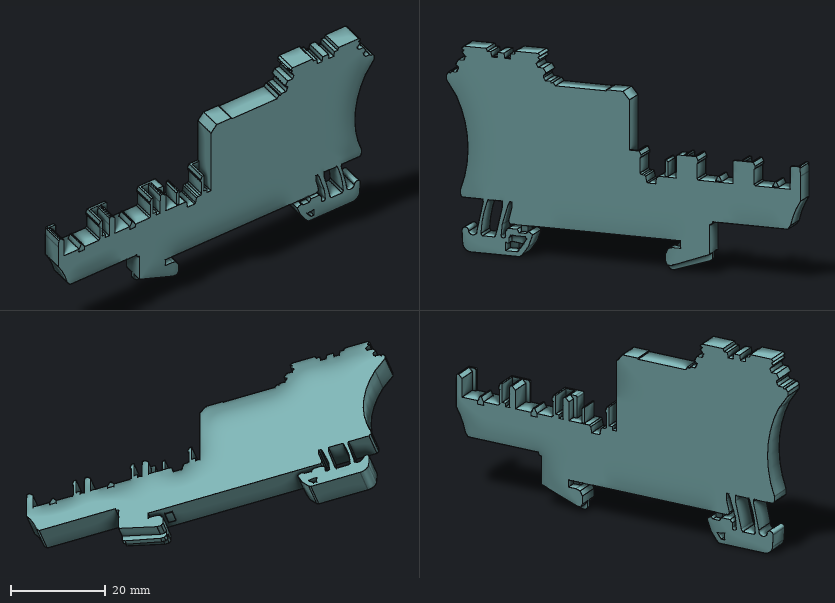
import cadquery as cq
length = 81.1
height = 45.0
width = 5.0
left = -width / 2
right = width / 2

floor_z = 20.7
tower_z = 25.8
tall_z = 38.3
rail_z = 7.0
overhang_z = 11.85
tall_y = 39.2
foot_y = 20.85
foot_inner_y = 27.5

join_overlap = 0.8
web_left = -0.65
web_right = 0.3

tower_pitch = 13.05
lip_y = 10.6
lip_faces = [lip_y + i * tower_pitch for i in range(3)]
lip_thickness = 0.65
bead_stand = 0.25
bead_bottom_z = 24.5
bead_top_z = 25.0
lip_base_chamfer = 0.3
lip_top_setback = 0.2
lead_wall_thickness = 1.5
lead_draft_height = 2.0
lead_draft = 0.1
lead_edge = 0.25
lead_back_chamfer = 0.8
lead_wall_faces = [i * tower_pitch for i in range(3)]
ledge_thickness = 0.8
ledge_height = 0.8
skin_thickness = 0.6
end_skin_back_y = 2.35
low_skin_back_y = 15.5
mid_skin_back_y = 28.5
mid_block_right = 0.5
corner_radius = 0.4

opening_bottom_z = 1.05
opening_back_y = 67.55
opening_back_z = 2.8
lug_front_y = 65.6

head_axis_y = 68.6
notch_near = 0.9
notch_far = 2.1
notch_floor_z = 43.4
notch_skin = 0.25
notch_deepening = 0.25

insert_depth = 0.8
blade_y = 30.6
blade_thickness = 0.65
blade_top_z = 24.3
blade_low_z = 23.85
blade_left = -1.95
blade_right = 2.2
ridge_y = 6.0
ridge_half_base = 0.7
ridge_top_z = 21.7
ridge_top_half = 0.2
ridge_left = -1.7
stem_y = (62.85, 64.4)
stem_bottom_z = 5.3
stem_left = -1.2
stem_right = 1.2
strip_y = (30.8, 32.5)
strip_bottom_z = 6.7


def slab(points, x0=left, x1=right):
    """Closed polygon of (Y, Z) points, extruded from X = x0 to X = x1."""
    return cq.Workplane("YZ", origin=(x0, 0, 0)).polyline(points).close().extrude(x1 - x0)


def block(y0, y1, z0, z1, x0=left, x1=right):
    return slab([(y0, z0), (y1, z0), (y1, z1), (y0, z1)], x0, x1)


def main_plate():
    """Low end, tall section and concave +Y end, without head, towers, foot and clip."""
    return (
        cq.Workplane("YZ", origin=(left, 0, 0))
        .moveTo(0, floor_z)
        .lineTo(0, 18.25)
        .threePointArc((1.4, 15.6), (2.3, 12.7))
        .lineTo(2.9, overhang_z)
        .lineTo(20.1, overhang_z)
        .threePointArc((20.35, 11.3), (foot_y, 11.1))
        .lineTo(foot_y, rail_z)
        .lineTo(66.5, rail_z)
        .lineTo(66.8, 7.6)
        .lineTo(66.1, 10.55)
        .lineTo(66.1, overhang_z)
        .lineTo(77.45, overhang_z)
        .lineTo(77.85, 12.3)
        .lineTo(77.85, 13.55)
        .threePointArc((76.15, 22.7), (78.8, 34.0))
        .lineTo(length, 37.3)
        .lineTo(length, tall_z)
        .lineTo(44.5, tall_z)
        .lineTo(44.45, 38.5)
        .lineTo(40.6, 38.5)
        .lineTo(tall_y, 36.8)
        .lineTo(tall_y, floor_z)
        .lineTo(35.8, floor_z)
        .lineTo(35.45, 20.4)
        .lineTo(35.2, 19.2)
        .lineTo(34.95, 19.0)
        .lineTo(33.2, 19.0)
        .lineTo(32.9, 20.35)
        .lineTo(32.6, floor_z)
        .close()
        .extrude(width)
    )


def head():
    """Stepped and notched head, symmetric about its axis."""
    half = [
        (0.7, 44.4), (notch_near, notch_floor_z), (notch_far, notch_floor_z), (2.3, 44.4),
        (3.1, 44.4), (3.3, height), (8.5, height), (9.0, 44.5), (8.5, 44.1), (8.9, 43.7), (8.1, 42.7),
        (8.5, 41.9), (9.7, 41.9), (10.4, 40.9), (9.7, 40.2), (9.8, 39.8), (10.2, 39.2), (11.35, 39.2),
        (11.6, 38.8), (12.0, 39.0), (length - head_axis_y, tall_z),
    ]
    low_side = [(head_axis_y - d, z) for d, z in half]
    high_side = [(head_axis_y + d, z) for d, z in reversed(half)]
    body = slab(low_side + high_side)
    for side in (-1, 1):
        near = head_axis_y + side * notch_near
        far = head_axis_y + side * notch_far
        body = body.cut(block(near, far, notch_floor_z - notch_deepening, notch_floor_z, left + notch_skin))
    return body


def rounded_block(y0, y1, x1):
    """Part of a tower, from the -X face to X = x1, with rounded top edges along X."""
    return block(y0, y1, floor_z, tower_z, left, x1).edges("|X and >Z").fillet(corner_radius)


def skin(y0, y1):
    return rounded_block(y0, y1, left + skin_thickness)


def lip(face_y):
    """Full-width marker lip with a beaded face, a chamfered base and a low ledge behind it."""
    back_y = face_y + lip_thickness
    bead_y = face_y - bead_stand
    wall = slab([
        (back_y, floor_z), (face_y - lip_base_chamfer, floor_z), (face_y, floor_z + lip_base_chamfer),
        (face_y, bead_bottom_z - bead_stand), (bead_y, bead_bottom_z), (bead_y, bead_top_z),
        (face_y + lip_top_setback, tower_z), (back_y, tower_z),
    ])
    return wall.union(block(back_y, back_y + ledge_thickness, floor_z, floor_z + ledge_height))


def lead_wall(face_y):
    """Full-width wall with a slightly drafted top front and a sloping back edge."""
    back_y = face_y + lead_wall_thickness
    drafted_y = face_y + lead_draft
    return slab([
        (face_y, floor_z), (face_y, tower_z - lead_draft_height), (drafted_y, tower_z - lead_edge),
        (drafted_y + lead_edge, tower_z), (back_y - lead_back_chamfer, tower_z),
        (back_y, tower_z - lead_back_chamfer), (back_y, floor_z),
    ])


def towers():
    low_top, mid_top, high_top = [face_y + lip_top_setback for face_y in lip_faces]
    mid_block_front = lead_wall_faces[2] + lead_draft + lead_edge
    body = skin(lead_draft, end_skin_back_y)
    body = body.union(skin(low_top, low_skin_back_y))
    body = body.union(rounded_block(mid_block_front, mid_skin_back_y, mid_block_right))
    body = body.union(skin(mid_top, mid_skin_back_y))
    body = body.union(block(high_top, tall_y, floor_z, tower_z, x1=left + skin_thickness))
    for face_y in lip_faces:
        body = body.union(lip(face_y))
    for face_y in lead_wall_faces:
        body = body.union(lead_wall(face_y))
    return body


def fixed_foot():
    """Hooked rail foot: two side layers and a slightly larger web between them."""
    sides = slab([
        (foot_y, overhang_z - join_overlap), (foot_y, 4.6), (29.5, 1.4), (30.5, 1.4), (30.9, 2.1),
        (30.9, 4.0), (30.3, 5.0), (29.3, 5.35), (foot_inner_y, 5.35),
        (foot_inner_y, rail_z + join_overlap),
    ])
    web = slab([
        (foot_y, rail_z), (foot_y, 3.25), (21.5, 2.7), (29.5, 0), (30.4, 0), (30.9, 0.5),
        (30.9, 4.0), (30.3, 5.0), (29.3, 5.35), (28.2, 6.5), (28.2, rail_z),
    ], web_left, web_right)
    return sides.union(web)


def spring_clip():
    """Rail clip hanging from two slanted legs."""
    outline = (
        cq.Workplane("YZ", origin=(left, 0, 0))
        .moveTo(72.8, overhang_z)
        .lineTo(72.7, 11.3)
        .lineTo(74.05, 5.0)
        .threePointArc((75.0, 3.8), (76.0, 4.55))
        .threePointArc((76.8, 5.35), (77.5, 4.6))
        .lineTo(77.4, 1.8)
        .threePointArc((76.8, 0.6), (75.4, 0))
        .lineTo(64.3, 0)
        .lineTo(63.8, 0.3)
        .lineTo(62.3, 2.4)
        .lineTo(61.3, 5.1)
        .lineTo(62.3, 5.75)
        .lineTo(stem_y[0], stem_bottom_z)
        .lineTo(stem_y[1], stem_bottom_z)
        .lineTo(64.9, 6.0)
        .lineTo(67.0, 6.0)
        .lineTo(67.55, 5.35)
        .lineTo(67.55, 4.3)
        .threePointArc((68.05, 3.8), (68.5, 4.3))
        .lineTo(68.3, 6.7)
        .lineTo(67.0, 11.0)
        .lineTo(66.6, overhang_z)
        .lineTo(66.6, overhang_z + join_overlap)
        .lineTo(72.8, overhang_z + join_overlap)
        .close()
        .extrude(width)
    )
    window = (
        cq.Workplane("YZ", origin=(left, 0, 0))
        .moveTo(71.5, overhang_z)
        .lineTo(68.3, overhang_z)
        .lineTo(68.3, 10.55)
        .lineTo(69.75, 4.4)
        .lineTo(70.1, 3.8)
        .lineTo(72.8, 3.8)
        .lineTo(73.15, 4.3)
        .threePointArc((72.75, 7.8), (71.8, 11.3))
        .close()
        .extrude(width)
    )
    return outline.cut(window)


def clip_recess():
    """Recess of the clip's nose, down to the web, with a through opening below the web."""
    upper = [(66.75, 2.75), (66.75, 4.0), (66.3, 4.55), (63.0, 4.55), (62.7, 4.05), (63.8, 2.35)]
    lower = [
        (opening_back_y, opening_bottom_z), (opening_back_y, opening_back_z), (66.75, 2.75), (63.8, 2.35),
        (64.2, 1.8), (64.9, opening_bottom_z),
    ]
    shallow = slab(upper, left, web_left)
    return shallow.union(slab(lower))


def clip_lug():
    """Square lug standing in the clip's opening."""
    return block(lug_front_y, opening_back_y, opening_bottom_z, opening_back_z, web_right, right)


def housing_body():
    body = main_plate().union(head()).union(towers()).union(fixed_foot()).union(spring_clip())
    return body.cut(clip_recess()).union(clip_lug())


def contact_blade():
    y0 = blade_y
    return slab([
        (y0, floor_z - insert_depth), (y0 + blade_thickness, floor_z - insert_depth),
        (y0 + blade_thickness, blade_top_z), (y0 + blade_thickness / 2, blade_top_z), (y0, blade_low_z),
    ], blade_left, blade_right)


def contact_ridge(crest_y):
    base_z = floor_z - insert_depth
    return slab([
        (crest_y - ridge_half_base, base_z), (crest_y + ridge_half_base, base_z),
        (crest_y + ridge_half_base, floor_z), (crest_y + ridge_top_half, ridge_top_z),
        (crest_y - ridge_top_half, ridge_top_z), (crest_y - ridge_half_base, floor_z),
    ], ridge_left)


def clip_stem():
    return block(*stem_y, stem_bottom_z, rail_z + insert_depth, stem_left, stem_right)


def rail_strip():
    return block(*strip_y, strip_bottom_z, rail_z + insert_depth, stem_left, stem_right)


blade = contact_blade()
ridges = [contact_ridge(ridge_y + i * tower_pitch) for i in range(2)]
stem = clip_stem()
strip = rail_strip()

housing = housing_body()
for insert in [blade, *ridges, stem, strip]:
    housing = housing.cut(insert)

result = cq.Compound.makeCompound([
    housing.val(), blade.val(), *[ridge.val() for ridge in ridges], stem.val(), strip.val(),
])